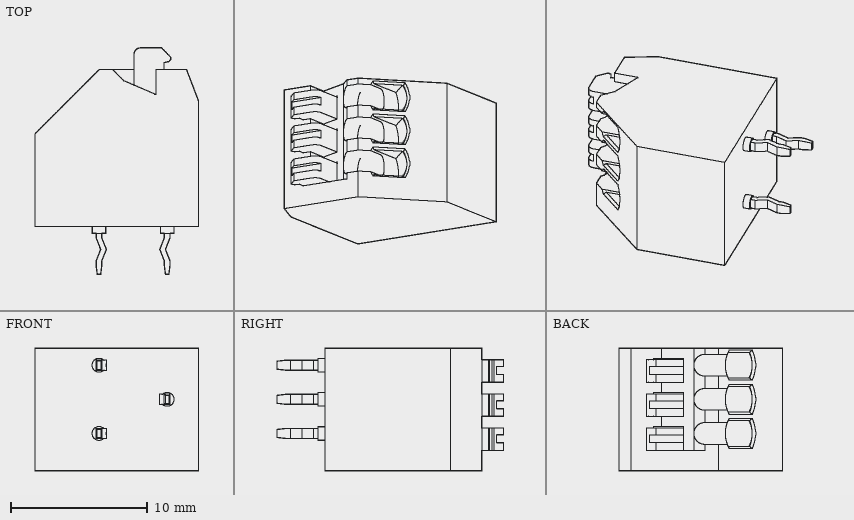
import cadquery as cq
import math

width = 12.0
overall_length = 16.6
height = 9.0
pin_length = 3.5
button_rise = 1.6
depth = overall_length - pin_length - button_rise
entry_bevel = 4.71
back_bevel_x = 0.88
back_bevel_y = 2.3

pole_count = 3
end_wall = 1.5
pole_pitch = (height - end_wall) / pole_count
pole_tops = [height - i * pole_pitch for i in range(pole_count)]

pocket_left = 5.7
pocket_kink_x = 6.5
pocket_kink_drop = pocket_kink_x - pocket_left
pocket_right = 8.86
pocket_drop = 1.83

button_left = 7.25
button_right = 9.48
lip_height = 0.75
button_gap = 0.1
button_round = 0.5
nose_top_x = 9.28
nose_tip_x = 9.96
nose_tip_y = depth + 0.9
nose_tip_flat = 0.15
nose_corner_x = 9.85
nose_corner_y = depth + 0.58
nose_heel_y = depth + 0.5
notch_width = 0.56
notch_depth = 0.5
notch_center = 1.65

channel_radius = 0.8
channel_drop = 2.75
channel_back = pocket_kink_x
flare_half_width = 1.1
flare_top = 0.5
flare_shoulder = 3.52
flare_bottom = 3.85
rim_inset = 0.15
rim_depth = 0.2
flare_back = 4.2
flare_back_radius = 2.25

left_pin_x = 4.7
right_pin_x = left_pin_x + 5.0
collar_diameter = 1.01
collar_length = 0.5
pin_thickness = 0.43
pin_width = 0.75
pin_bend_start = 0.83
pin_bend_peak = 1.68
pin_bend_end = 2.52
pin_tip_start = 2.87
pin_bend_offset = 0.33
tip_thickness = 0.27
tip_width = 0.6


def slab(points, bottom, top):
    """Prism on a closed XY outline between two Z levels."""
    return cq.Workplane("XY", origin=(0, 0, bottom)).polyline(points).close().extrude(top - bottom)


def box_between(low, high):
    size = [b - a for a, b in zip(low, high)]
    return cq.Workplane("XY").box(*size, centered=False).translate(low)


def make_housing():
    outline = [
        (0, 0),
        (width, 0),
        (width, depth - back_bevel_y),
        (width - back_bevel_x, depth),
        (entry_bevel, depth),
        (0, depth - entry_bevel),
    ]
    return slab(outline, 0, height)


def make_pocket():
    """Pocket shared by all poles, open upward and along the housing edge."""
    outline = [
        (pocket_left, depth),
        (pocket_kink_x, depth - pocket_kink_drop),
        (pocket_right, depth - pocket_drop),
        (pocket_right, depth),
    ]
    return slab(outline, end_wall, height)


def make_button_cavity(pole_top):
    """Room for the button and its clearance, under a lip at the top of the pole."""
    return box_between(
        (button_left, depth - pocket_drop, pole_top - pole_pitch),
        (button_right, depth, pole_top - lip_height),
    )


def make_button(pole_top):
    top = pole_top - lip_height - button_gap
    bottom = pole_top - pole_pitch
    crown = depth + button_rise
    outline = [
        (button_left, depth - pocket_drop),
        (button_left, crown),
        (nose_top_x, crown),
        (nose_tip_x, nose_tip_y),
        (nose_tip_x, nose_tip_y - nose_tip_flat),
        (nose_corner_x, nose_corner_y),
        (button_right, nose_heel_y),
        (button_right, depth - pocket_drop),
    ]
    button = slab(outline, bottom, top)
    rounded_edge = cq.selectors.NearestToPointSelector((button_left, crown, (top + bottom) / 2))
    button = button.edges(rounded_edge).fillet(button_round)
    notch_middle = pole_top - notch_center
    notch = box_between(
        (button_left, crown - notch_depth, notch_middle - notch_width / 2),
        (nose_tip_x, crown, notch_middle + notch_width / 2),
    )
    return button.cut(notch)


def make_channel(middle):
    """Slot through the bevel with a round lower end and a round back wall."""
    end_center = depth - channel_drop + channel_radius
    front = cq.Plane(origin=(0, end_center, middle), xDir=(0, 0, -1), normal=(1, 0, 0))
    slot = (
        cq.Workplane(front)
        .moveTo(-channel_radius, depth)
        .lineTo(-channel_radius, 0)
        .threePointArc((0, -channel_radius), (channel_radius, 0))
        .lineTo(channel_radius, depth)
        .close()
        .extrude(channel_back)
    )
    round_back = (
        cq.Workplane("XZ", origin=(channel_back - channel_radius, depth, middle))
        .circle(channel_radius)
        .extrude(channel_drop)
    )
    front_block = box_between((0, 0, 0), (channel_back - channel_radius, depth, height))
    return slot.intersect(front_block.union(round_back))


def make_flare(middle):
    """Wider mouth around the slot: chamfered rim, straight sides and a shallow round back."""
    bevel = cq.Plane(origin=(entry_bevel, depth, middle), xDir=(0, 0, -1), normal=(1, -1, 0))

    def outline(inset, start):
        half = flare_half_width - inset
        return (
            cq.Workplane(bevel)
            .workplane(offset=start)
            .moveTo(-half, -flare_top - inset)
            .lineTo(-half, -flare_shoulder + inset)
            .threePointArc((0, -flare_bottom + inset), (half, -flare_shoulder + inset))
            .lineTo(half, -flare_top - inset)
            .close()
        )

    rim_taper = math.degrees(math.atan(rim_inset / rim_depth))
    rim = outline(0, 0).extrude(rim_depth, taper=rim_taper)
    sides = outline(rim_inset, rim_depth).extrude(flare_back)
    back = (
        cq.Workplane("XZ", origin=(flare_back - flare_back_radius, depth, middle))
        .circle(flare_back_radius)
        .extrude(depth)
    )
    return rim.union(sides).intersect(back)


def make_pin(x, middle, bend):
    """Round collar and a flat pin that bends toward +X (bend = 1) or -X (bend = -1)."""
    collar = (
        cq.Workplane("XZ", origin=(x, 0, middle)).circle(collar_diameter / 2).extrude(collar_length)
    )
    half = pin_thickness / 2
    shift = bend * pin_bend_offset
    center_line = [
        (x, 0),
        (x, -pin_bend_start),
        (x + shift, -pin_bend_peak),
        (x, -pin_bend_end),
        (x, -pin_tip_start),
    ]
    left_edge = [(px - half, py) for px, py in center_line]
    right_edge = [(px + half, py) for px, py in reversed(center_line)]
    blade = slab(left_edge + right_edge, middle - pin_width / 2, middle + pin_width / 2)
    tip = (
        cq.Workplane("XZ", origin=(x, -pin_tip_start, middle))
        .rect(pin_thickness, pin_width)
        .workplane(offset=pin_length - pin_tip_start)
        .rect(tip_thickness, tip_width)
        .loft()
    )
    return collar.union(blade).union(tip)


result = make_housing().cut(make_pocket())
for pole_top in pole_tops:
    pole_middle = pole_top - pole_pitch / 2
    result = result.cut(make_button_cavity(pole_top))
    result = result.cut(make_channel(pole_middle))
    result = result.cut(make_flare(pole_middle))

for index, pole_top in enumerate(pole_tops):
    pole_middle = pole_top - pole_pitch / 2
    result = result.union(make_button(pole_top))
    if index % 2 == 0:
        pin = make_pin(left_pin_x, pole_middle, 1)
    else:
        pin = make_pin(right_pin_x, pole_middle, -1)
    result = result.union(pin)